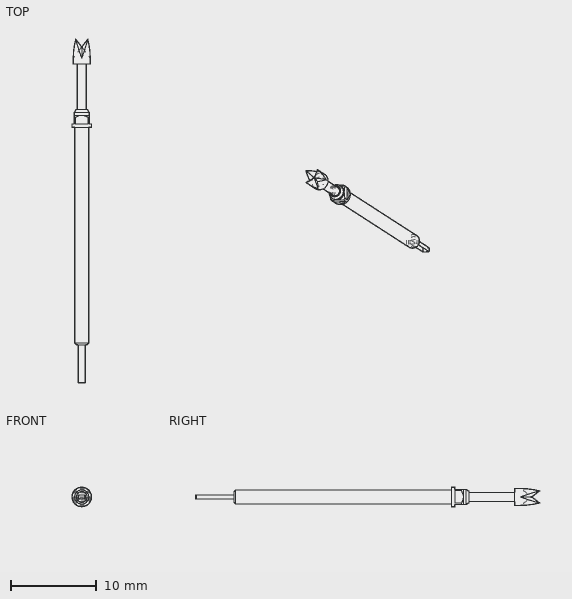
import cadquery as cq
import math


crown_length = 2.95
stem_length = 5.3
shoulder_length = 0.35
neck_length = 1.33
collar_length = 0.4
barrel_length = 25.4
tail_length = 4.45

crown_diameter = 2.0
stem_diameter = 1.1
shoulder_diameter = 1.33
neck_diameter = 1.75
collar_diameter = 2.3
barrel_diameter = 1.65
tail_diameter = 0.9

crown_center_depth = 0.92
crown_valley_depth = 2.25
neck_round_length = 0.32
flare_length = 0.25
square_width = 1.75
barrel_chamfer = 0.2
tail_thickness = 0.5
tail_chamfer = 0.1

collar_top = collar_length
neck_top = collar_top + neck_length
shoulder_top = neck_top + shoulder_length
stem_top = shoulder_top + stem_length
crown_top = stem_top + crown_length
flare_top = neck_top - neck_round_length
tail_end = -barrel_length - tail_length


def cylinder(diameter, start, length):
    """Cylinder on the Y axis that runs from start toward +Y."""
    plane = cq.Plane(origin=(0, start, 0), xDir=(1, 0, 0), normal=(0, 1, 0))
    return cq.Workplane(plane).circle(diameter / 2).extrude(length)


def cone(lower_diameter, upper_diameter, start, length):
    """Truncated cone on the Y axis that runs from start toward +Y."""
    solid = cq.Solid.makeCone(
        lower_diameter / 2, upper_diameter / 2, length, cq.Vector(0, start, 0), cq.Vector(0, 1, 0)
    )
    return cq.Workplane(solid)


def crown_groove():
    """V groove toward +Z whose bottom slopes down from the crown's center to its rim."""
    radius = crown_diameter / 2
    tip_offset = radius * math.cos(math.radians(45))
    bottom_slope = (crown_valley_depth - crown_center_depth) / radius
    wall_slope = bottom_slope + crown_center_depth / tip_offset
    clearance = 0.2

    def section(depth):
        half_width = (depth + clearance) / wall_slope
        top = crown_top + clearance
        return [(-half_width, top), (half_width, top), (0, crown_top - depth)]

    reach = radius + clearance
    return (
        cq.Workplane("XY")
        .polyline(section(crown_center_depth))
        .close()
        .workplane(offset=reach)
        .polyline(section(crown_center_depth + bottom_slope * reach))
        .close()
        .loft(ruled=True)
    )


def make_crown():
    """Head with four teeth, set at 45 degrees to X and Z."""
    crown = cylinder(crown_diameter, stem_top, crown_length)
    groove = crown_groove()
    for angle in (0, 90, 180, 270):
        crown = crown.cut(groove.rotate((0, 0, 0), (0, 1, 0), angle))
    return crown


def make_neck():
    """Round neck that flares into a square with rounded corners."""
    round_part = cylinder(neck_diameter, flare_top, neck_round_length)
    flare = cone(collar_diameter, neck_diameter, flare_top - flare_length, flare_length)
    corners = cylinder(collar_diameter, collar_top, flare_top - flare_length - collar_top)
    square = cq.Workplane("XY").box(square_width, 2 * neck_top, square_width)
    shoulder = cone(neck_diameter, shoulder_diameter, neck_top, shoulder_length)
    return corners.union(flare).intersect(square).union(round_part).union(shoulder)


def make_barrel():
    barrel = cylinder(barrel_diameter, -barrel_length, barrel_length)
    return barrel.faces("<Y").chamfer(barrel_chamfer)


def make_tail():
    """Round pin flattened above and below, with a chamfered end."""
    tail = cylinder(tail_diameter, tail_end, tail_length).faces("<Y").chamfer(tail_chamfer)
    flats = cq.Workplane("XY").box(tail_diameter, -2 * tail_end, tail_thickness)
    return tail.intersect(flats)


stem = cylinder(stem_diameter, shoulder_top, stem_length)
collar = cylinder(collar_diameter, 0, collar_length)

result = (
    make_barrel()
    .union(make_tail())
    .union(collar)
    .union(make_neck())
    .union(stem)
    .union(make_crown())
)